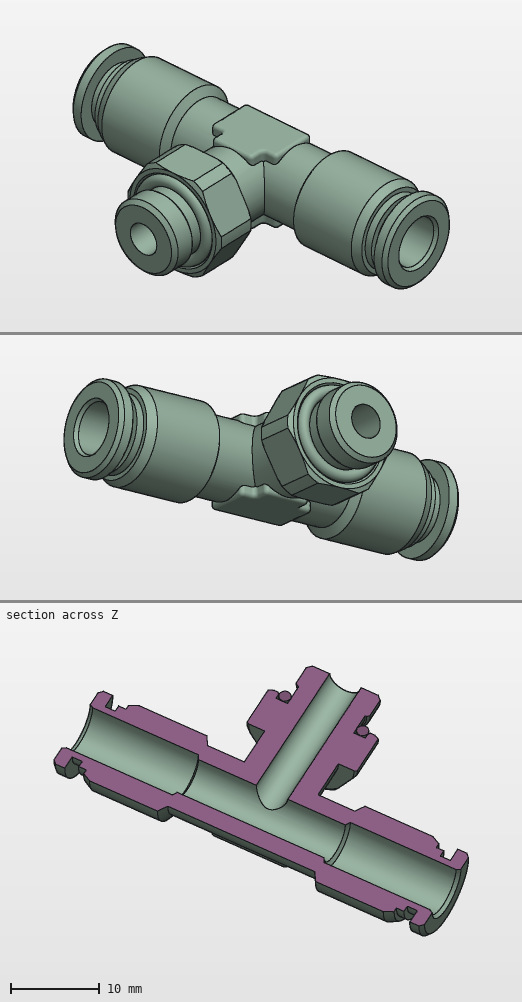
import cadquery as cq
import math

run_half_length = 23.8
tube_radius = 4.75
sleeve_radius = 5.9
sleeve_shoulder_start = 9.42
sleeve_shoulder_end = 10.15
sleeve_bevel_start = 18.85
sleeve_end = 19.95
sleeve_end_radius = 5.35
collar_end = 20.9
collar_radius = tube_radius
neck_radius = 3.95
release_ring_start = 22.15
release_ring_radius = 5.7
release_ring_chamfer = 0.48

run_bore_radius = 2.5
socket_radius = 3.1
socket_bottom = sleeve_shoulder_start
socket_mouth_radius = 3.4
socket_mouth_length = 0.48
socket_bottom_cone_length = 0.35
branch_bore_radius = 2.0

hex_start = 9.5
hex_end = 15.0
hex_across_flats = 13.0
hex_across_corners = hex_across_flats / math.cos(math.radians(30))
hex_corner_radius = 7.1
hex_rear_bevel_radius = 6.75
hex_front_bevel_radius = hex_across_flats / 2
hex_bevel_slope = 0.5
undercut_radius = 4.3
plug_start = 16.75
plug_start_radius = 4.47
plug_start_chamfer_length = 0.3
plug_radius = tube_radius
plug_end = 20.0
plug_end_chamfer = 0.5

seat_radius = 5.7
seat_chamfer = 0.25
ring_section_radius = (seat_radius - undercut_radius) / 2
ring_centre_radius = (seat_radius + undercut_radius) / 2
ring_projection = 0.55
ring_centre_distance = hex_end + ring_projection - ring_section_radius
seat_depth = 2 * ring_section_radius - ring_projection

pad_half_height = 5.0
pad_wide_half_width = 4.95
pad_wide_half_depth = 3.0
pad_stem_half_width = 3.0
pad_stem_end = 5.05
pad_corner_radius = 0.5
pad_edge_radius = 0.48


def revolve_about_x(profile):
    """Turn (distance, radius) points about the run axis, distances towards +X."""
    return cq.Workplane("XY").polyline(profile).close().revolve(360, (0, 0), (1, 0))


def revolve_about_branch(profile):
    """Turn (distance, radius) points about the branch axis, distances towards -Y."""
    points = [(radius, -distance) for distance, radius in profile]
    return cq.Workplane("XY").polyline(points).close().revolve(360, (0, 0), (0, 1))


def run_half():
    """Half of the run on the +X side, without bores."""
    return revolve_about_x([
        (0, 0),
        (0, tube_radius),
        (sleeve_shoulder_start, tube_radius),
        (sleeve_shoulder_end, sleeve_radius),
        (sleeve_bevel_start, sleeve_radius),
        (sleeve_end, sleeve_end_radius),
        (sleeve_end, collar_radius),
        (collar_end, collar_radius),
        (collar_end, neck_radius),
        (release_ring_start, neck_radius),
        (release_ring_start, release_ring_radius),
        (run_half_length - release_ring_chamfer, release_ring_radius),
        (run_half_length, release_ring_radius - release_ring_chamfer),
        (run_half_length, 0),
    ])


def run_bore_half():
    """Half of the stepped run bore on the +X side."""
    return revolve_about_x([
        (0, 0),
        (0, run_bore_radius),
        (socket_bottom, run_bore_radius),
        (socket_bottom + socket_bottom_cone_length, socket_radius),
        (run_half_length - socket_mouth_length, socket_radius),
        (run_half_length, socket_mouth_radius),
        (run_half_length, 0),
    ])


def both_ends(half):
    """Join a +X half to its mirror image."""
    return half.union(half.mirror("YZ"))


def branch_stud():
    """Branch tube, undercut and plug end, without the hexagon."""
    return revolve_about_branch([
        (0, 0),
        (0, tube_radius),
        (hex_end - seat_depth, tube_radius),
        (hex_end - seat_depth, undercut_radius),
        (plug_start, undercut_radius),
        (plug_start, plug_start_radius),
        (plug_start + plug_start_chamfer_length, plug_radius),
        (plug_end - plug_end_chamfer, plug_radius),
        (plug_end, plug_radius - plug_end_chamfer),
        (plug_end, 0),
    ])


def branch_hexagon():
    """Hexagon with flats above and below, turned corners and bevelled ends, with the ring seat."""
    hexagon = (
        cq.Workplane("XZ", origin=(0, -hex_start, 0))
        .polygon(6, hex_across_corners)
        .extrude(hex_end - hex_start)
    )
    rear_bevel_length = (hex_corner_radius - hex_rear_bevel_radius) * hex_bevel_slope
    front_bevel_length = (hex_corner_radius - hex_front_bevel_radius) * hex_bevel_slope
    turned_envelope = revolve_about_branch([
        (hex_start, 0),
        (hex_start, hex_rear_bevel_radius),
        (hex_start + rear_bevel_length, hex_corner_radius),
        (hex_end - front_bevel_length, hex_corner_radius),
        (hex_end, hex_front_bevel_radius),
        (hex_end, 0),
    ])
    ring_seat = revolve_about_branch([
        (hex_end - seat_depth, 0),
        (hex_end - seat_depth, seat_radius),
        (hex_end - seat_chamfer, seat_radius),
        (hex_end, seat_radius + seat_chamfer),
        (hex_end, 0),
    ])
    return hexagon.intersect(turned_envelope).cut(ring_seat)


def label_pad():
    """T-shaped block through the junction, standing proud of the tubes above and below."""
    outline = [
        (-pad_wide_half_width, pad_wide_half_depth),
        (pad_wide_half_width, pad_wide_half_depth),
        (pad_wide_half_width, -pad_wide_half_depth),
        (pad_stem_half_width, -pad_wide_half_depth),
        (pad_stem_half_width, -pad_stem_end),
        (-pad_stem_half_width, -pad_stem_end),
        (-pad_stem_half_width, -pad_wide_half_depth),
        (-pad_wide_half_width, -pad_wide_half_depth),
    ]
    block = cq.Workplane("XY").polyline(outline).close().extrude(pad_half_height, both=True)
    block = block.edges("|Z").fillet(pad_corner_radius)
    return block.faces("<Z or >Z").edges().fillet(pad_edge_radius)


def branch_bore():
    """Bore along the branch, from the plug end into the run bore."""
    return cq.Workplane("XZ").circle(branch_bore_radius).extrude(plug_end)


def make_tee_body():
    outside = both_ends(run_half()).union(branch_stud()).union(branch_hexagon()).union(label_pad())
    return outside.cut(both_ends(run_bore_half())).cut(branch_bore())


def make_seal_ring():
    return (
        cq.Workplane("XY")
        .center(ring_centre_radius, -ring_centre_distance)
        .circle(ring_section_radius)
        .revolve(360, (-ring_centre_radius, 0), (-ring_centre_radius, 1))
    )


tee_body = make_tee_body()
seal_ring = make_seal_ring()

result = cq.Compound.makeCompound([tee_body.val(), seal_ring.val()])